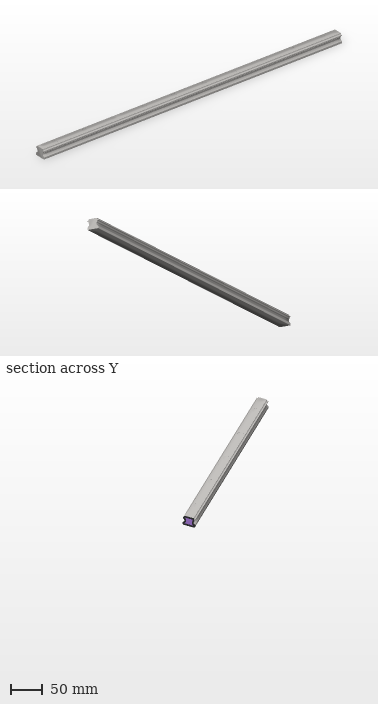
import cadquery as cq

width = 20.0
length = 600.0
height = 17.5
half_width = width / 2

base_side_height = 3.6
neck_half_width = 6.6
shoulder_rise = half_width - neck_half_width
neck_bottom = base_side_height + shoulder_rise
neck_top = 10.0

lower_track_half_width = 8.0
lower_track_bottom = 11.2
ridge_bottom = 13.7
ridge_top = 15.0
top_half_width = 7.5
track_depth = 0.9

recess_count = 10
recess_pitch = length / recess_count
recess_diameter = 9.5
recess_depth = 0.2


def rail_body():
    """Half section right of the centre plane, extruded along Y and mirrored to the left."""
    half_section = (
        cq.Workplane("XZ")
        .lineTo(half_width, 0)
        .lineTo(half_width, base_side_height)
        .lineTo(neck_half_width, neck_bottom)
        .lineTo(neck_half_width, neck_top)
        .lineTo(lower_track_half_width, lower_track_bottom)
        .sagittaArc((half_width, ridge_bottom), track_depth)
        .lineTo(half_width, ridge_top)
        .sagittaArc((top_half_width, height), track_depth)
        .lineTo(0, height)
        .close()
    )
    right_half = half_section.extrude(length / 2, both=True)
    return right_half.union(right_half.mirror("YZ")).clean()


def mounting_recesses():
    """Evenly pitched shallow round recesses in the top face."""
    return (
        cq.Workplane("XY", origin=(0, 0, height))
        .rarray(width, recess_pitch, 1, recess_count)
        .circle(recess_diameter / 2)
        .extrude(-recess_depth)
    )


result = rail_body().cut(mounting_recesses())